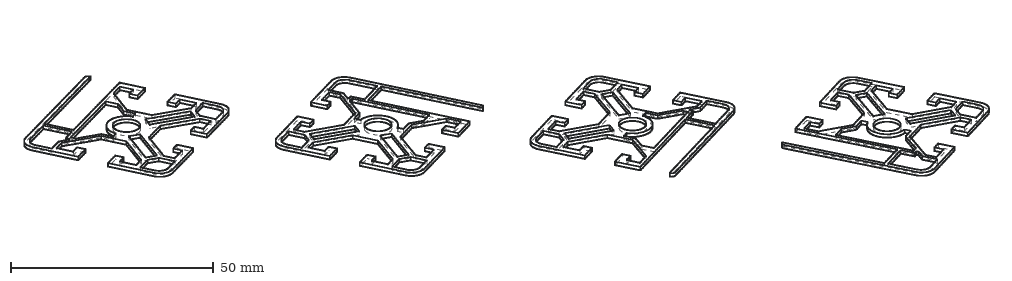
import cadquery as cq
import math

SIZE = 40.0
HALF = SIZE / 2
THICKNESS = 1.0
CORNER_RADIUS = 3.5
TIP_RADIUS = 1.0

OPENING_HALF = 4.05
LIP_WIDTH = 2.3
LIP_DEPTH = 4.45
FLANGE = 2.0
CAVITY_HALF = 10.8
CORE_HALF = 7.65
RIB_WIDTH = 6.0
RIB_ANGLE = 45
THIN_WALL = 1.0

CELL_WALL = 1.3
CELL_INNER = 12.25
CELL_RADIUS = 2.5
CELL_CHAMFER_DISTANCE = 18.83
RIB_SLOT_WIDTH = 3.0
RIB_SLOT_START = 5.55
RIB_SLOT_END = 17.47

COVER_WALL = 1.15
INNER_WALL_X = -10.95
CHANNEL_FLOOR_Y = -7.5
CHAMBER_TOP_Y = 9.45
CHAMBER_BOTTOM_Y = -11.45
CELL_STEP_Y = -12.25

BORE_RADIUS = 3.4
RING_RADIUS = 5.0
RING_WEB_X = -0.6

DIAGONAL = math.sqrt(2)
RIB_OFFSET = RIB_WIDTH / 2 * DIAGONAL
THIN_RIB_OFFSET = (RIB_WIDTH / 2 - THIN_WALL) * DIAGONAL
CHAMBER_LEFT_X = INNER_WALL_X + THIN_WALL
CELL_OUTER = HALF - CELL_WALL


def prism(points):
    return cq.Workplane("XY").polyline(points).close().extrude(THICKNESS)


def blank():
    """Square plate with three large rounded corners and a small one at the upper left."""
    plate = cq.Workplane("XY").rect(SIZE, SIZE).extrude(THICKNESS)
    plate = plate.edges("|Z and (>X or <Y)").fillet(CORNER_RADIUS)
    tip = cq.selectors.NearestToPointSelector((-HALF, HALF, THICKNESS / 2))
    return plate.edges("|Z").edges(tip).fillet(TIP_RADIUS)


def slot_side(side_x):
    """One half of a T-slot facing +Y, from the mouth to the floor; side_x is its cavity wall."""
    lip_x = OPENING_HALF + LIP_WIDTH
    return [
        (OPENING_HALF, HALF),
        (OPENING_HALF, HALF - LIP_DEPTH),
        (lip_x, HALF - LIP_DEPTH),
        (lip_x, HALF - FLANGE),
        (side_x, HALF - FLANGE),
        (side_x, side_x + RIB_OFFSET),
        (CORE_HALF - RIB_OFFSET, CORE_HALF),
    ]


def t_slot(angle, left_side=CAVITY_HALF):
    right = slot_side(CAVITY_HALF)
    left = [(-x, y) for x, y in reversed(slot_side(left_side))]
    return prism(right + left).rotate((0, 0, 0), (0, 0, 1), angle)


def corner_cell():
    """Upper right cell: rounded outside corner, chamfered inside corner."""
    chamfer_end = CELL_CHAMFER_DISTANCE * DIAGONAL - CELL_INNER
    cell = prism([
        (chamfer_end, CELL_INNER),
        (CELL_OUTER, CELL_INNER),
        (CELL_OUTER, CELL_OUTER),
        (CELL_INNER, CELL_OUTER),
        (CELL_INNER, chamfer_end),
    ])
    outside_corner = cq.selectors.NearestToPointSelector((CELL_OUTER, CELL_OUTER, THICKNESS / 2))
    return cell.edges("|Z").edges(outside_corner).fillet(CELL_RADIUS)


def rib_slot():
    """Slot along the upper right diagonal rib."""
    length = RIB_SLOT_END - RIB_SLOT_START
    middle = (RIB_SLOT_START + RIB_SLOT_END) / 2
    slot = cq.Workplane("XY").center(middle, 0).rect(length, RIB_SLOT_WIDTH).extrude(THICKNESS)
    return slot.rotate((0, 0, 0), (0, 0, 1), RIB_ANGLE)


def open_channel():
    """Deep channel between the cover wall and the inner wall, open at the top."""
    cover_x = -HALF + COVER_WALL
    return prism([
        (cover_x, CHANNEL_FLOOR_Y),
        (INNER_WALL_X, CHANNEL_FLOOR_Y),
        (INNER_WALL_X, HALF),
        (cover_x, HALF),
    ])


def lower_left_cell():
    """Cell below the channel, notched under the inner wall and sloped along the thin rib."""
    top_y = CHANNEL_FLOOR_Y - THIN_WALL
    side_x = -CAVITY_HALF - THIN_WALL
    cell = prism([
        (-CELL_OUTER, -CELL_OUTER),
        (side_x, -CELL_OUTER),
        (side_x, side_x - THIN_RIB_OFFSET),
        (CHAMBER_LEFT_X, CHAMBER_LEFT_X - THIN_RIB_OFFSET),
        (CHAMBER_LEFT_X, CELL_STEP_Y),
        (INNER_WALL_X, CELL_STEP_Y),
        (INNER_WALL_X, top_y),
        (-CELL_OUTER, top_y),
    ])
    outside_corner = cq.selectors.NearestToPointSelector((-CELL_OUTER, -CELL_OUTER, THICKNESS / 2))
    return cell.edges("|Z").edges(outside_corner).fillet(CELL_RADIUS)


def inner_chamber():
    """Chamber between the inner wall and the central ring."""
    inner_y = CORE_HALF - THIN_WALL
    bend_x = THIN_RIB_OFFSET - inner_y
    chamber = prism([
        (CHAMBER_LEFT_X, CHAMBER_TOP_Y),
        (THIN_RIB_OFFSET - CHAMBER_TOP_Y, CHAMBER_TOP_Y),
        (bend_x, inner_y),
        (RING_WEB_X, inner_y),
        (RING_WEB_X, -inner_y),
        (bend_x, -inner_y),
        (THIN_RIB_OFFSET + CHAMBER_BOTTOM_Y, CHAMBER_BOTTOM_Y),
        (CHAMBER_LEFT_X, CHAMBER_BOTTOM_Y),
    ])
    return chamber.cut(cq.Workplane("XY").circle(RING_RADIUS).extrude(THICKNESS))


result = blank()

result = result.cut(t_slot(0, left_side=-CHAMBER_LEFT_X))
for slot_angle in (-90, 180):
    result = result.cut(t_slot(slot_angle))

for corner_angle in (0, -90):
    for cutter in (corner_cell(), rib_slot()):
        result = result.cut(cutter.rotate((0, 0, 0), (0, 0, 1), corner_angle))

result = result.cut(open_channel())
result = result.cut(lower_left_cell())
result = result.cut(inner_chamber())
result = result.cut(cq.Workplane("XY").circle(BORE_RADIUS).extrude(THICKNESS))